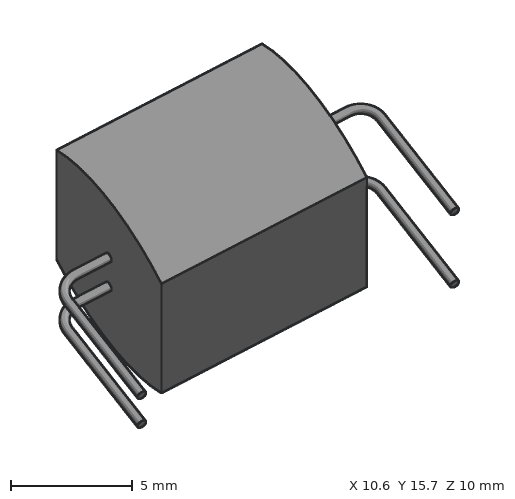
import cadquery as cq

overall_x = 10.61
overall_y = 15.65

body_width = 8.01
body_length = 10.0
body_height = 10.0
side_height = 7.7

wall = 0.5

lead_diameter = 0.42
bend_radius = 1.0
front_lead_z = 1.02
back_lead_z = 2.55

body_end = body_length / 2
lead_tip_x = overall_x - body_width / 2
lead_run_y = overall_y / 2 - lead_diameter / 2


def domed_outline(start_y, inset):
    """Closed end outline, moved inward by inset, on the XZ plane at start_y."""
    half_width = body_width / 2
    dome_rise = (body_height - side_height) / 2
    dome_radius = (half_width**2 + dome_rise**2) / (2 * dome_rise)
    center_z = body_height / 2 - dome_radius

    x = half_width - inset
    radius = dome_radius - inset
    top_z = center_z + radius
    corner_z = center_z + (radius**2 - x**2) ** 0.5
    return (
        cq.Workplane("XZ", origin=(0, start_y, 0))
        .moveTo(-x, -corner_z)
        .lineTo(-x, corner_z)
        .threePointArc((0, top_z), (x, corner_z))
        .lineTo(x, -corner_z)
        .threePointArc((0, -top_z), (-x, -corner_z))
        .close()
    )


def make_body():
    """Thin-walled housing filled flush to its end faces, keeping the seam between the two."""
    outer = domed_outline(body_end, 0).extrude(body_length)
    filling = domed_outline(body_end, wall).extrude(body_length)
    housing = outer.cut(filling)
    return housing.union(filling, clean=False)


def make_lead(side, z):
    """Lead leaving the end face on the given Y side (-1 or 1), then bent toward +X."""
    bend_start_y = lead_run_y - bend_radius
    bend_offset = bend_radius * 0.5**0.5
    bend_middle = (bend_radius - bend_offset, side * (bend_start_y + bend_offset))
    path = (
        cq.Workplane("XY", origin=(0, 0, z))
        .moveTo(0, side * body_end)
        .lineTo(0, side * bend_start_y)
        .threePointArc(bend_middle, (bend_radius, side * lead_run_y))
        .lineTo(lead_tip_x, side * lead_run_y)
    )
    section = cq.Workplane("XZ", origin=(0, side * body_end, z)).circle(lead_diameter / 2)
    return section.sweep(path)


result = make_body()
for side, lead_z in ((-1, front_lead_z), (1, back_lead_z)):
    for z in (-lead_z, lead_z):
        result = result.union(make_lead(side, z), clean=False)